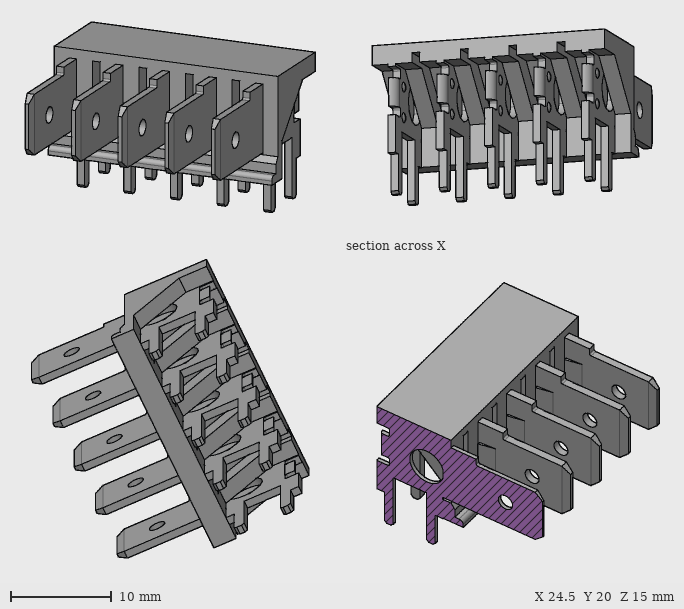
import cadquery as cq
import math


row_length = 24.45
terminal_count = 5
pitch = 5.08
thickness = 0.8

housing_depth = 8.97
housing_height = 10.92
roof_thickness = 1.0
overhang_bottom = 8.92
slope_top_y = 5.96
slope_bottom_z = 3.95
wall_thickness = 1.0
ledge_depth = 0.46
ledge_top = 2.57
ledge_bevel_bottom = 1.9
lip_depth = 1.45
lip_height = 0.93
lip_radius = 0.5

body_top = housing_height - roof_thickness
shoulder_z = -0.07
large_hole_y = 2.95
large_hole_diameter = 4.0
notch_root_y = 7.45
notch_corner_radius = 0.2
upper_notch_top = 8.68
lower_notch_bottom = 3.76
tongue_end_y = 8.55
tongue_bottom = 4.75
tongue_top = 7.65
tongue_bend_radius = 0.85
bump_diameter = 1.0
bump_height = 0.2
bump_y = 6.45
bump_heights_z = (3.93, 7.05)

pin_width = 1.1
pin_length = 4.08
pin_tip_chamfer = 0.3
front_pin_y = 1.9
rear_pin_y = 6.97
pin_gap_top = 2.37

tab_length = 11.02
tab_bottom = 2.75
tab_width = 6.33
tab_top = tab_bottom + tab_width
tab_middle_z = tab_bottom + tab_width / 2
tab_step_length = 3.03
tab_step_radius = 0.2
tip_length = 0.9
tip_corner = 0.8
tip_thickness = 0.4
tab_hole_y = -6.53
tab_hole_diameter = 1.65

barb_rear_y = -0.17
barb_front_y = -2.13
barb_height = 0.27
barb_front_width = 2.93
barb_rear_width = 2.7


def plate(outline, x_start, x_length):
    """Extrude a closed (y, z) outline along X."""
    return cq.Workplane("YZ", origin=(x_start, 0, 0)).polyline(outline).close().extrude(x_length)


def block(x_start, x_length, y_range, z_range):
    """Box from its X start and length and its Y and Z limits."""
    (y0, y1), (z0, z1) = y_range, z_range
    return plate([(y0, z0), (y1, z0), (y1, z1), (y0, z1)], x_start, x_length)


def make_housing():
    """Constant profile with a sloped back, slotted at and between the terminals."""
    outline = [
        (-lip_depth, 0),
        (wall_thickness, 0),
        (wall_thickness, slope_bottom_z),
        (slope_top_y, overhang_bottom),
        (housing_depth, overhang_bottom),
        (housing_depth, housing_height),
        (0, housing_height),
        (0, ledge_top),
        (-ledge_depth, ledge_bevel_bottom),
        (-ledge_depth, lip_height),
        (-lip_depth, lip_height),
    ]
    housing = plate(outline, -row_length / 2, row_length)
    lip_edge = cq.selectors.NearestToPointSelector((0, -lip_depth, lip_height))
    housing = housing.edges(lip_edge).fillet(lip_radius)

    slot_count = 2 * terminal_count - 1
    for index in range(slot_count):
        slot_x = (index - (slot_count - 1) / 2) * pitch / 2
        slot = block(slot_x - thickness / 2, thickness, (0, housing_depth), (ledge_top, body_top))
        housing = housing.cut(slot)
    return housing


def make_pin(y_start):
    """Flat solder pin with both bottom corners chamfered."""
    pin = block(-thickness / 2, thickness, (y_start, y_start + pin_width), (-pin_length, pin_gap_top))
    return pin.faces("<Z").edges("|X").chamfer(pin_tip_chamfer)


def make_notch(z_bottom, z_top):
    """Rear notch with rounded inner corners."""
    notch = block(-thickness / 2, thickness, (notch_root_y, housing_depth), (z_bottom, z_top))
    return notch.faces("<Y").edges("|X").fillet(notch_corner_radius)


def make_tongue():
    """Quarter-round tongue curling from the -X face towards +X between the notches."""
    bend_center = (tongue_bend_radius - thickness / 2, tongue_end_y - tongue_bend_radius)
    bend_middle = tongue_bend_radius * math.sqrt(0.5)
    return (
        cq.Workplane("XY", origin=(0, 0, tongue_bottom))
        .moveTo(-thickness / 2, notch_root_y)
        .lineTo(-thickness / 2, bend_center[1])
        .threePointArc(
            (bend_center[0] - bend_middle, bend_center[1] + bend_middle),
            (bend_center[0], tongue_end_y),
        )
        .lineTo(bend_center[0], notch_root_y)
        .close()
        .extrude(tongue_top - tongue_bottom)
    )


def make_bump(z):
    """Spherical dome on the -X face of the terminal."""
    radius = ((bump_diameter / 2) ** 2 + bump_height**2) / (2 * bump_height)
    center_x = -thickness / 2 - bump_height + radius
    ball = cq.Workplane("XY").sphere(radius).translate((center_x, bump_y, z))
    reach = block(
        -thickness / 2 - bump_height,
        bump_height + thickness / 2,
        (bump_y - bump_diameter, bump_y + bump_diameter),
        (z - bump_diameter, z + bump_diameter),
    )
    return ball.intersect(reach)


def make_barb():
    """Wedge rising from the tab towards the housing, slightly narrower at its high end."""
    face_x = -thickness / 2
    ramp = [
        (0, barb_front_y),
        (face_x, barb_front_y),
        (face_x - barb_height, barb_rear_y),
        (0, barb_rear_y),
    ]
    wedge = (
        cq.Workplane("XY", origin=(0, 0, tab_middle_z))
        .polyline(ramp)
        .close()
        .extrude(barb_front_width / 2, both=True)
    )
    sides = [
        (barb_front_y, tab_middle_z - barb_front_width / 2),
        (barb_rear_y, tab_middle_z - barb_rear_width / 2),
        (barb_rear_y, tab_middle_z + barb_rear_width / 2),
        (barb_front_y, tab_middle_z + barb_front_width / 2),
    ]
    return wedge.intersect(plate(sides, face_x - barb_height, barb_height + thickness / 2))


def make_tab():
    """Tab with a raised root, cropped corners, a tip bevelled on both faces and a detent hole."""
    outline = [
        (wall_thickness, tab_bottom),
        (tip_length - tab_length, tab_bottom),
        (-tab_length, tab_bottom + tip_corner),
        (-tab_length, tab_top - tip_corner),
        (tip_length - tab_length, tab_top),
        (-tab_step_length, tab_top),
        (-tab_step_length, body_top),
        (wall_thickness, body_top),
    ]
    tab = plate(outline, -thickness / 2, thickness)
    step_corner = cq.selectors.NearestToPointSelector((0, -tab_step_length, tab_top))
    tab = tab.edges(step_corner).fillet(tab_step_radius)

    bevel_y = tip_length - tab_length
    for side in (-1, 1):
        bevel = (
            cq.Workplane("XY")
            .polyline([
                (side * thickness / 2, bevel_y),
                (side * tip_thickness / 2, -tab_length),
                (side * thickness / 2, -tab_length),
            ])
            .close()
            .extrude(body_top)
        )
        tab = tab.cut(bevel)
    return tab.cut(make_hole(tab_hole_y, tab_hole_diameter))


def make_hole(y, diameter):
    """Cylinder along X, through the terminal at the height of the tab's middle."""
    center = (-thickness / 2, y, tab_middle_z)
    return cq.Workplane("YZ", origin=center).circle(diameter / 2).extrude(thickness)


def make_terminal():
    """One sheet-metal terminal centred on x = 0."""
    body = block(-thickness / 2, thickness, (wall_thickness, housing_depth), (shoulder_z, body_top))
    pin_gap = (front_pin_y + pin_width, rear_pin_y)
    body = body.cut(block(-thickness / 2, thickness, pin_gap, (shoulder_z, pin_gap_top)))
    tongue_space = (notch_root_y, housing_depth)
    body = body.cut(block(-thickness / 2, thickness, tongue_space, (tongue_bottom, tongue_top)))
    body = body.cut(make_notch(tongue_top, upper_notch_top))
    body = body.cut(make_notch(lower_notch_bottom, tongue_bottom))
    body = body.cut(make_hole(large_hole_y, large_hole_diameter))
    body = body.union(make_tongue()).union(make_tab()).union(make_barb())
    for y in (front_pin_y, rear_pin_y):
        body = body.union(make_pin(y))
    for z in bump_heights_z:
        body = body.union(make_bump(z))
    return body


result = make_housing()
terminal = make_terminal()
for index in range(terminal_count):
    terminal_x = (index - (terminal_count - 1) / 2) * pitch
    result = result.union(terminal.translate((terminal_x, 0, 0)))